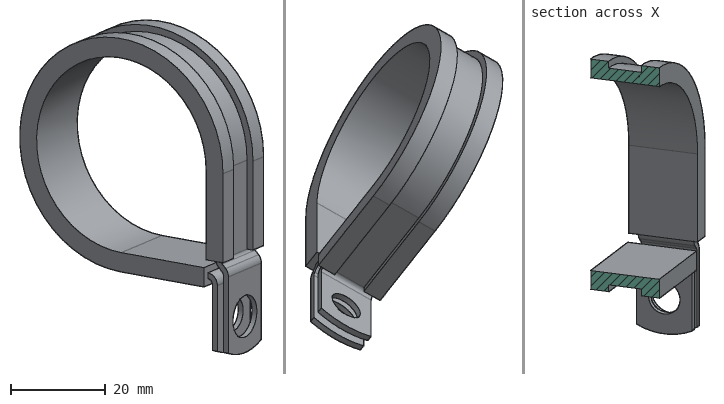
import cadquery as cq
import math

overall_length = 51.8
overall_height = 66.9
outer_radius = 25.7
cushion_thickness = 4.3
cushion_width = 15.7
groove_width = 7.4
strap_thickness = 1.3
strap_width = 12.7
groove_depth = (cushion_thickness - strap_thickness) / 2
strap_radius = outer_radius - cushion_thickness / 2

side_leg = 19.6
bottom_leg = 20.9
bottom_z = outer_radius - overall_height

side_tab_outer_x = overall_length - outer_radius
tab_gap = 1.55
side_tab_x = side_tab_outer_x - strap_thickness / 2
bottom_tab_x = side_tab_x - strap_thickness - tab_gap

bend_radius = bottom_tab_x - bottom_leg

bottom_hole_diameter = 7.15
side_hole_diameter = 9.15
hole_height = 8.0
tip_sagitta = 1.4


def loop_band(inner, outer, width):
    """Three-quarter loop with a downward and a sideways leg, centred on Y."""
    diagonal = math.sqrt(0.5)
    return (
        cq.Workplane("XZ")
        .moveTo(outer, -side_leg)
        .lineTo(outer, 0)
        .threePointArc((-outer * diagonal, outer * diagonal), (0, -outer))
        .lineTo(bottom_leg, -outer)
        .lineTo(bottom_leg, -inner)
        .lineTo(0, -inner)
        .threePointArc((-inner * diagonal, inner * diagonal), (inner, 0))
        .lineTo(inner, -side_leg)
        .close()
        .extrude(width / 2, both=True)
    )


def strap_path():
    """Strap centre line from the side tab, around the loop, to the bottom tab."""
    diagonal = math.sqrt(0.5)
    arc_shift = bend_radius * (1 - diagonal)
    arc_drop = bend_radius * diagonal
    slope = side_tab_x - strap_radius - 2 * arc_shift
    slope_top = -side_leg - arc_drop
    slope_bottom = slope_top - slope
    jog_bottom = slope_bottom - arc_drop
    bend_end_z = -strap_radius - bend_radius
    return (
        cq.Workplane("XZ")
        .moveTo(side_tab_x, bottom_z)
        .lineTo(side_tab_x, jog_bottom)
        .tangentArcPoint((side_tab_x - arc_shift, slope_bottom), relative=False)
        .lineTo(strap_radius + arc_shift, slope_top)
        .tangentArcPoint((strap_radius, -side_leg), relative=False)
        .lineTo(strap_radius, 0)
        .threePointArc((-strap_radius * diagonal, strap_radius * diagonal), (0, -strap_radius))
        .lineTo(bottom_leg, -strap_radius)
        .tangentArcPoint((bottom_tab_x, bend_end_z), relative=False)
        .lineTo(bottom_tab_x, bottom_z)
    )


def tab_outline():
    """Envelope along X that rounds the tab tips."""
    half_width = strap_width / 2
    corner_z = bottom_z + tip_sagitta
    return (
        cq.Workplane("YZ")
        .moveTo(-half_width, outer_radius)
        .lineTo(-half_width, corner_z)
        .threePointArc((0, bottom_z), (half_width, corner_z))
        .lineTo(half_width, outer_radius)
        .close()
        .extrude(outer_radius + side_tab_outer_x, both=True)
    )


def bolt_hole(tab_x, diameter):
    """Cutter along X through the tab whose mid-plane is at tab_x."""
    return (
        cq.Workplane("YZ", origin=(tab_x, 0, bottom_z + hole_height))
        .circle(diameter / 2)
        .extrude((strap_thickness + tab_gap) / 2, both=True)
    )


groove_floor = outer_radius - groove_depth
cushion = loop_band(outer_radius - cushion_thickness, outer_radius, cushion_width)
cushion = cushion.cut(loop_band(groove_floor, outer_radius, groove_width))

strap = (
    cq.Workplane("XY", origin=(side_tab_x, 0, bottom_z))
    .rect(strap_thickness, strap_width)
    .sweep(strap_path())
    .intersect(tab_outline())
    .cut(bolt_hole(bottom_tab_x, bottom_hole_diameter))
    .cut(bolt_hole(side_tab_x, side_hole_diameter))
)

result = cushion.union(strap)